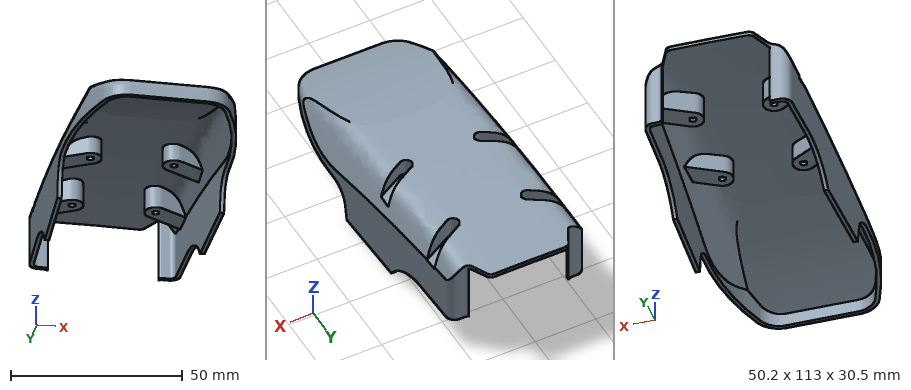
import cadquery as cq
import math

WALL = 1.3
TOP_Z = 19.48
LEG_BOTTOM_Z = -11.0
REAR_BOTTOM_Z = -2.0
NOSE_Y = -56.5
REAR_WALL_Y = 49.35
TAB_END_Y = 56.5
BEYOND = 10.0
PRISM_HEIGHT = TOP_Z + BEYOND - LEG_BOTTOM_Z
CORNER_REACH = 0.15

REAR_HALF_WIDTH = 22.25
FLANK_END = (25.01, -17.0)
NOSE_SIDE = (18.7, -51.5)
NOSE_TIP_HALF_WIDTH = 11.4
REAR_CORNER_RADIUS = 3.0
TAB_ROOT_HALF_WIDTH = 16.45
TAB_END_HALF_WIDTH = 12.92
TAB_CORNER_RADIUS = 2.0
OPENING_EDGE_RADIUS = 0.7

CROWN_RADIUS = 560.0
CROWN_PEAK_Y = 46.0
CROWN_SHOULDER = [
    (10.0, 0.05),
    (15.0, 0.25),
    (18.0, 0.85),
    (20.0, 2.2),
    (22.2, 5.9),
    (24.2, 10.1),
    (26.2, 14.7),
]
CROWN_EDGE_SLOPE = 2.3
CROWN_DEPTH = 60.0
CROWN_SWING = 14.0

NOSE_FACE_START = (-12.0, 2.7)
NOSE_FACE_MIDDLE = (-36.0, 7.95)
NOSE_FACE_END = (-60.0, 15.55)
NOSE_FACE_REAR = (70.0, -16.0)
NOSE_EDGE_RADIUS = 3.0

REAR_ARCH_RADIUS = 20.0
REAR_ARCH_Y = 32.0
FRONT_ARCH_RADIUS = 7.0
FRONT_ARCH_Y = -18.2
LEG_FRONT_LEAN = 9.5

SCREW_X = 12.4
SCREW_YS = (32.2, 3.1)
SCREW_HOLE_RADIUS = 1.0
SLOT_RADIUS = 2.0
SLOT_ANGLE = 29.0
SLOT_LENGTH = 22.0
SLOT_FLOOR_Z = TOP_Z - 7.5


def plan_prism(inset=0.0):
    """Plan outline raised over the whole height; an inset of WALL gives the inside of the walls."""
    half_outline = (
        cq.Workplane("XY")
        .workplane(offset=LEG_BOTTOM_Z)
        .moveTo(0, REAR_WALL_Y)
        .lineTo(REAR_HALF_WIDTH, REAR_WALL_Y)
        .lineTo(*FLANK_END)
        .tangentArcPoint(NOSE_SIDE, relative=False)
        .tangentArcPoint((NOSE_TIP_HALF_WIDTH, NOSE_Y), relative=False)
        .lineTo(0, NOSE_Y)
    )
    outline = half_outline.mirrorY()
    if inset:
        outline = outline.offset2D(-inset)
    return outline.extrude(PRISM_HEIGHT)


def tab_prism():
    """Tapered rear tab over the whole height, reaching into the body to share its rear edge."""
    outline = [
        (-TAB_END_HALF_WIDTH, TAB_END_Y),
        (TAB_END_HALF_WIDTH, TAB_END_Y),
        (TAB_ROOT_HALF_WIDTH, REAR_WALL_Y),
        (-TAB_ROOT_HALF_WIDTH, REAR_WALL_Y),
    ]
    return (
        cq.Workplane("XY")
        .workplane(offset=LEG_BOTTOM_Z)
        .polyline(outline)
        .close()
        .extrude(PRISM_HEIGHT)
    )


def round_corners(prism, half_width, y, radius):
    """Round the mirrored pair of vertical edges at X = +/-half_width and the given Y."""
    for x in (-half_width, half_width):
        nearby = cq.selectors.BoxSelector(
            (x - CORNER_REACH, y - CORNER_REACH, LEG_BOTTOM_Z - BEYOND),
            (x + CORNER_REACH, y + CORNER_REACH, TOP_Z + BEYOND),
        )
        prism = prism.edges("|Z").edges(nearby).fillet(radius)
    return prism


def outer_prism():
    """Body and tab in plan, with their vertical corners rounded."""
    prism = plan_prism().union(tab_prism())
    prism = round_corners(prism, REAR_HALF_WIDTH, REAR_WALL_Y, REAR_CORNER_RADIUS)
    prism = round_corners(prism, TAB_ROOT_HALF_WIDTH, REAR_WALL_Y, TAB_CORNER_RADIUS)
    return round_corners(prism, TAB_END_HALF_WIDTH, TAB_END_Y, TAB_CORNER_RADIUS)


def crowned_body(inset=0.0):
    """Everything under the crowned main surface, lowered and narrowed by the inset."""
    narrowing = 1 - inset / CROWN_SHOULDER[-1][0]
    peak_z = TOP_Z - inset
    half_section = [(x * narrowing, peak_z - depth) for x, depth in CROWN_SHOULDER]
    section = (
        cq.Workplane("XZ")
        .moveTo(0, peak_z)
        .spline(half_section, tangents=[(1, 0), (1, -CROWN_EDGE_SLOPE)], includeCurrent=True)
        .lineTo(half_section[-1][0], peak_z - CROWN_DEPTH)
        .lineTo(0, peak_z - CROWN_DEPTH)
        .mirrorY()
    )
    axis_z = TOP_Z - CROWN_RADIUS
    body = section.revolve(2 * CROWN_SWING, (0, axis_z), (1, axis_z))
    return body.rotate((0, 0, axis_z), (1, 0, axis_z), -CROWN_SWING).translate((0, CROWN_PEAK_Y, 0))


def nose_body(drop=0.0):
    """Everything under the sloping nose face, lowered by the drop."""
    start, middle, end, rear = (
        (y, TOP_Z - depth - drop)
        for y, depth in (NOSE_FACE_START, NOSE_FACE_MIDDLE, NOSE_FACE_END, NOSE_FACE_REAR)
    )
    return (
        cq.Workplane("YZ")
        .moveTo(*rear)
        .lineTo(*start)
        .threePointArc(middle, end)
        .lineTo(end[0], LEG_BOTTOM_Z - BEYOND)
        .lineTo(rear[0], LEG_BOTTOM_Z - BEYOND)
        .close()
        .extrude(FLANK_END[0] + BEYOND, both=True)
    )


def outer_body():
    """Solid outer form with the rounded nose edge."""
    blank = outer_prism().intersect(nose_body())
    nose_rim = blank.faces("<Y").edges(">Z")
    return nose_rim.fillet(NOSE_EDGE_RADIUS).intersect(crowned_body())


def cavity():
    """Space inside the cover, with the opening in the rear wall below the tab."""
    inner_rear_y = REAR_WALL_Y - WALL
    inside = round_corners(
        plan_prism(WALL), REAR_HALF_WIDTH - WALL, inner_rear_y, REAR_CORNER_RADIUS - WALL
    )
    opening_front = inner_rear_y - WALL
    opening_length = TAB_END_Y + BEYOND - opening_front
    opening = (
        cq.Workplane("XY")
        .workplane(offset=LEG_BOTTOM_Z)
        .center(0, opening_front + opening_length / 2)
        .rect(2 * TAB_ROOT_HALF_WIDTH, opening_length)
        .extrude(PRISM_HEIGHT)
    )
    space = round_corners(inside.union(opening), TAB_ROOT_HALF_WIDTH, inner_rear_y, OPENING_EDGE_RADIUS)
    return space.intersect(nose_body(WALL)).intersect(crowned_body(WALL))


def space_below():
    """Region under the lower edge of the walls, leaving a leg between two arches."""
    lean = math.radians(LEG_FRONT_LEAN)
    rear_arch_z = REAR_BOTTOM_Z - REAR_ARCH_RADIUS
    rear_arch_rise = LEG_BOTTOM_Z - rear_arch_z
    leg_rear_y = REAR_ARCH_Y - math.sqrt(REAR_ARCH_RADIUS**2 - rear_arch_rise**2)
    rear_mid_angle = (math.pi / 2 + math.asin(rear_arch_rise / REAR_ARCH_RADIUS)) / 2
    rear_arch_middle = (
        REAR_ARCH_Y - REAR_ARCH_RADIUS * math.cos(rear_mid_angle),
        rear_arch_z + REAR_ARCH_RADIUS * math.sin(rear_mid_angle),
    )
    front_mid_angle = (math.pi / 2 + lean) / 2
    front_arch_middle, front_arch_end = (
        (
            FRONT_ARCH_Y + FRONT_ARCH_RADIUS * math.cos(angle),
            FRONT_ARCH_RADIUS * (math.sin(angle) - 1),
        )
        for angle in (front_mid_angle, lean)
    )
    leg_front_y = front_arch_end[0] + (front_arch_end[1] - LEG_BOTTOM_Z) * math.tan(lean)
    floor_z = LEG_BOTTOM_Z - BEYOND
    return (
        cq.Workplane("YZ")
        .moveTo(NOSE_Y - BEYOND, 0)
        .lineTo(FRONT_ARCH_Y, 0)
        .threePointArc(front_arch_middle, front_arch_end)
        .lineTo(leg_front_y, LEG_BOTTOM_Z)
        .lineTo(leg_rear_y, LEG_BOTTOM_Z)
        .threePointArc(rear_arch_middle, (REAR_ARCH_Y, REAR_BOTTOM_Z))
        .lineTo(TAB_END_Y + BEYOND, REAR_BOTTOM_Z)
        .lineTo(TAB_END_Y + BEYOND, floor_z)
        .lineTo(NOSE_Y - BEYOND, floor_z)
        .close()
        .extrude(FLANK_END[0] + BEYOND, both=True)
    )


def on_each_screw(make_tool):
    """Union of one tool per screw, made about the origin for a slot running toward +X."""
    tools = None
    for y in SCREW_YS:
        right = make_tool().rotate((0, 0, 0), (0, 0, 1), SLOT_ANGLE).translate((SCREW_X, y, 0))
        pair = right.union(right.mirror("YZ"))
        tools = pair if tools is None else tools.union(pair)
    return tools


def slot_tool(radius, floor_z):
    """Round-ended slot from the screw axis outward, open above the floor."""
    return (
        cq.Workplane("XY")
        .workplane(offset=floor_z)
        .center(SLOT_LENGTH / 2, 0)
        .slot2D(SLOT_LENGTH + 2 * radius, 2 * radius)
        .extrude(TOP_Z + BEYOND - floor_z)
    )


def screw_hole():
    """Through hole in the slot floor."""
    return cq.Workplane("XY").workplane(offset=LEG_BOTTOM_Z).circle(SCREW_HOLE_RADIUS).extrude(PRISM_HEIGHT)


outside = outer_body()
seats = on_each_screw(lambda: slot_tool(SLOT_RADIUS + WALL, SLOT_FLOOR_Z - WALL)).intersect(outside)
slots = on_each_screw(lambda: slot_tool(SLOT_RADIUS, SLOT_FLOOR_Z))
holes = on_each_screw(screw_hole)

result = outside.cut(cavity()).union(seats).cut(slots).cut(holes).cut(space_below())